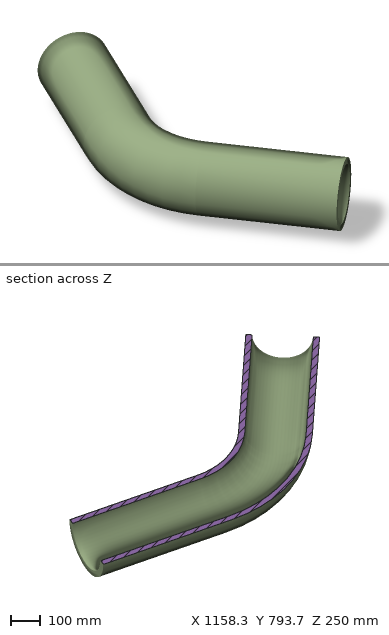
import cadquery as cq
import math

outer_diameter = 250.0
inner_diameter = 204.6
bend_angle = 60.0
bend_radius = 1.5 * outer_diameter
leg_length = 700.0

tangent_length = bend_radius * math.tan(math.radians(bend_angle / 2))


def point_along(angle, distance):
    """Point in the XY plane at a distance from the crossing of the axes."""
    direction = math.radians(angle)
    return (distance * math.cos(direction), distance * math.sin(direction))


def centreline():
    """Inlet leg along +X, elbow turning towards +Y, then the outlet leg."""
    elbow_start = (-tangent_length, 0)
    half_turn = math.radians(bend_angle / 2)
    elbow_middle = (
        elbow_start[0] + bend_radius * math.sin(half_turn),
        bend_radius * (1 - math.cos(half_turn)),
    )
    return (
        cq.Workplane("XY")
        .moveTo(-leg_length, 0)
        .lineTo(*elbow_start)
        .threePointArc(elbow_middle, point_along(bend_angle, tangent_length))
        .lineTo(*point_along(bend_angle, leg_length))
    )


def pipe():
    """Ring section swept from the inlet face to the outlet face."""
    inlet_face = cq.Workplane("YZ", origin=(-leg_length, 0, 0))
    section = inlet_face.circle(outer_diameter / 2).circle(inner_diameter / 2)
    return section.sweep(centreline())


result = pipe()